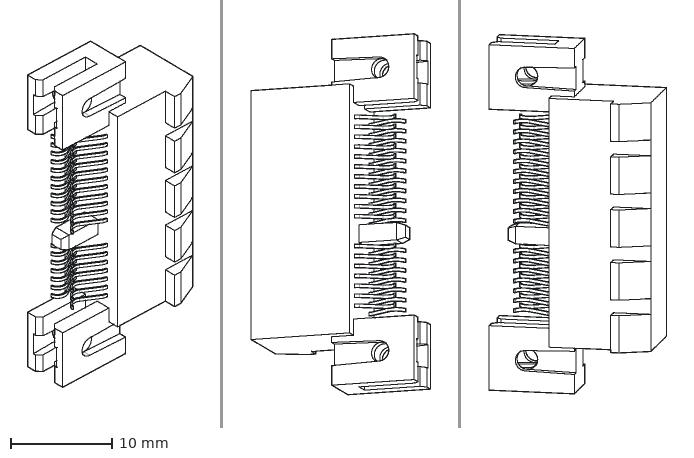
import cadquery as cq
import math

overall_height = 34.8
overall_depth = 16.55
overall_width = 8.85

body_width = 7.5
body_height = 25.05
body_front = 6.3
body_half_width = body_width / 2

rib_count = 5
rib_height = 3.75
rib_depth = 3.75
rib_tip_flat = 0.85
rib_reach = overall_width - body_width
rib_pitch = (body_height - rib_height) / (rib_count - 1)

ear_width = 5.0
ear_depth = 8.6
ear_height = 6.5
ear_slot_width = 1.67
ear_chamfer = 0.52
ear_wall = (ear_width - ear_slot_width) / 2

hole_diameter = 2.05
hole_from_end = 3.13
hole_y = 3.7
groove_mouth = 2.33
groove_depth = ear_wall / 2

contact_slots = 20
slots_above_post = 11
slots_left_empty = 2
contact_span = 19.0
contact_top_z = contact_span / 2
contact_height = 0.35
contact_pitch = contact_span / (contact_slots - 1)

contact_thickness = 0.17
contact_root_x = 2.3
bend_radius = 1.08
bend_x = 1.7
bend_y = 3.3
arm_lean = 31.0
arm_length = 2.4
tip_sweep = 80.0

post_width = 1.88
post_height = 1.77
post_tip_width = 1.3
post_tip_height = 1.22
post_tip_length = 0.85
post_front = 1.53
post_shoulder = post_front + post_tip_length
post_slot_index = slots_above_post + (slots_left_empty - 1) / 2
post_z = contact_top_z - post_slot_index * contact_pitch


def box(x0, x1, y0, y1, z0, z1):
    """Box between two opposite corners."""
    return cq.Workplane("XY").box(x1 - x0, y1 - y0, z1 - z0, centered=False).translate((x0, y0, z0))


def make_body():
    half_height = body_height / 2
    return box(-body_half_width, body_half_width, body_front, overall_depth, -half_height, half_height)


def make_rib(bottom_z):
    """Latch rib with a sloped lead-in at the rear."""
    rib_front = overall_depth - rib_depth
    tip_x = body_half_width + rib_reach
    return (
        cq.Workplane("XY", origin=(0, 0, bottom_z))
        .moveTo(body_half_width, overall_depth)
        .lineTo(tip_x, rib_front + rib_tip_flat)
        .lineTo(tip_x, rib_front)
        .lineTo(body_half_width, rib_front)
        .close()
        .extrude(rib_height)
    )


def make_groove(mouth_y, x0, hole_z):
    """Groove cut that narrows from its mouth to the diameter of the cross hole."""
    half_mouth = groove_mouth / 2
    half_end = hole_diameter / 2
    return (
        cq.Workplane("YZ", origin=(x0, 0, hole_z))
        .moveTo(mouth_y, half_mouth)
        .lineTo(hole_y, half_end)
        .lineTo(hole_y, -half_end)
        .lineTo(mouth_y, -half_mouth)
        .close()
        .extrude(groove_depth)
    )


def make_top_ear():
    """Upper U-shaped ear, open toward the front."""
    half_width = ear_width / 2
    half_slot = ear_slot_width / 2
    top_z = overall_height / 2
    bottom_z = top_z - ear_height
    ear = (
        cq.Workplane("XY", origin=(0, 0, bottom_z))
        .moveTo(-half_width, 0)
        .lineTo(-half_slot - ear_chamfer, 0)
        .lineTo(-half_slot, ear_chamfer)
        .lineTo(-half_slot, body_front)
        .lineTo(half_slot, body_front)
        .lineTo(half_slot, ear_chamfer)
        .lineTo(half_slot + ear_chamfer, 0)
        .lineTo(half_width, 0)
        .lineTo(half_width, ear_depth)
        .lineTo(-half_width, ear_depth)
        .close()
        .extrude(ear_height)
    )
    hole_z = top_z - hole_from_end
    hole = (
        cq.Workplane("YZ", origin=(-half_width, 0, 0))
        .center(hole_y, hole_z)
        .circle(hole_diameter / 2)
        .extrude(ear_width)
    )
    ear = ear.cut(hole)
    for mouth_y, left_x in ((ear_depth, -half_width), (0, -half_slot - groove_depth)):
        groove = make_groove(mouth_y, left_x, hole_z)
        ear = ear.cut(groove).cut(groove.mirror("YZ"))
    return ear


def make_left_contact():
    """Contact leaning toward the middle, then curled back outward at its tip."""

    def on_bend(radius, degrees, along=0.0):
        """Point on the bend, moved along the tangent there."""
        angle = math.radians(degrees)
        x = -bend_x + radius * math.cos(angle) - along * math.sin(angle)
        y = bend_y + radius * math.sin(angle) + along * math.cos(angle)
        return (x, y)

    outer = bend_radius
    inner = bend_radius - contact_thickness
    return (
        cq.Workplane("XY")
        .moveTo(-contact_root_x, body_front)
        .lineTo(*on_bend(inner, arm_lean, arm_length))
        .lineTo(*on_bend(inner, arm_lean))
        .threePointArc(on_bend(inner, 0), on_bend(inner, -tip_sweep))
        .lineTo(*on_bend(outer, -tip_sweep))
        .threePointArc(on_bend(outer, 0), on_bend(outer, arm_lean))
        .lineTo(*on_bend(outer, arm_lean, arm_length))
        .lineTo(-contact_root_x + contact_thickness, body_front)
        .close()
        .extrude(contact_height / 2, both=True)
    )


def make_post():
    """Rectangular keying post with a tapered tip."""
    half_width = post_width / 2
    half_height = post_height / 2
    shank = box(-half_width, half_width, post_shoulder, body_front, post_z - half_height, post_z + half_height)
    tip = (
        cq.Workplane("XZ", origin=(0, post_shoulder, post_z))
        .rect(post_width, post_height)
        .workplane(offset=post_tip_length)
        .rect(post_tip_width, post_tip_height)
        .loft(ruled=True)
    )
    return shank.union(tip)


result = make_body()

for index in range(rib_count):
    result = result.union(make_rib(-body_height / 2 + index * rib_pitch))

top_ear = make_top_ear()
result = result.union(top_ear).union(top_ear.mirror("XY"))

result = result.union(make_post())

left_contact = make_left_contact()
right_contact = left_contact.mirror("YZ")
first_slot_below = slots_above_post + slots_left_empty
for slot in range(contact_slots):
    if slots_above_post <= slot < first_slot_below:
        continue
    contact_z = contact_top_z - slot * contact_pitch
    for contact in (left_contact, right_contact):
        result = result.union(contact.translate((0, 0, contact_z)))